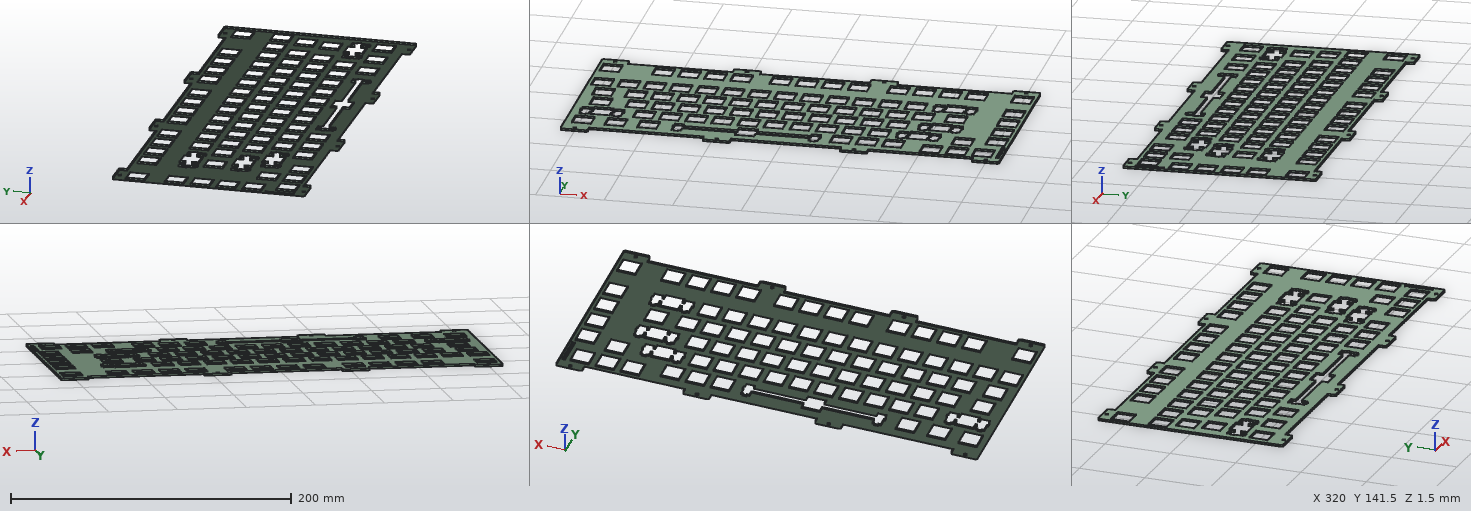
import cadquery as cq


length = 320.0
depth = 141.5
thickness = 1.5
edge_margin = 10.0

tab_height = 5.8
tab_width = 2 * edge_margin
tab_corner_radius = 1.5
screw_diameter = 2.2
outer_tab_x = length / 2 - edge_margin
inner_tab_left_x = -53.8
inner_tab_right_x = 46.5

last_column = 15.75
last_row = 5.75
key_pitch = (length - 2 * edge_margin) / last_column
switch_size = 14.0

stabilizer_width = 6.7
stabilizer_top = 5.8
stabilizer_bottom = -6.7
foot_width = 3.0
foot_depth = 1.22
side_notch_depth = 0.83
side_notch_top = 2.3
side_notch_bottom = -0.5
channel_height = 4.8
short_stabilizer_offset = 12.0
space_stabilizer_offset = 50.0

slot_width = 2.08
slot_length = 20.8
slot_x = 157.0
slot_y = -52.0


def run(first, count):
    """Columns of neighbouring single-width keys."""
    return [first + i for i in range(count)]


switch_rows = {
    0: [0] + run(2, 4) + run(6.5, 4) + run(11, 4) + [last_column],
    1.5: run(0, 13) + [last_column],
    2.5: [0.25] + run(1.5, 12) + [13.75, last_column],
    3.5: [0.375] + run(1.75, 11) + [last_column],
    4.5: run(2.25, 10) + [last_column],
    4.75: [14.5],
    5.5: [0.125, 1.375, 2.625] + run(10, 3),
    last_row: run(13.5, 3),
}

wide_keys = [
    (13.5, 1.5, short_stabilizer_offset),
    (13.375, 3.5, short_stabilizer_offset),
    (0.625, 4.5, short_stabilizer_offset),
    (12.75, 4.5, short_stabilizer_offset),
    (6.375, 5.5, space_stabilizer_offset),
]


def key_center(column, row):
    """The key grid is centred on the plate."""
    return (column - last_column / 2) * key_pitch, (last_row / 2 - row) * key_pitch


def block(x_min, x_max, y_min, y_max):
    """Box through the full plate thickness."""
    box = cq.Workplane("XY").box(x_max - x_min, y_max - y_min, thickness, centered=False)
    return box.translate((x_min, y_min, -thickness / 2))


def centered_block(x, y, width, height):
    return block(x - width / 2, x + width / 2, y - height / 2, y + height / 2)


def make_tab(x, side):
    """Tab on the +Y (side = 1) or -Y (side = -1) edge, rounded at its outer corners."""
    tab = centered_block(x, side * (depth - tab_height) / 2, tab_width, tab_height)
    outer_face = ">Y" if side > 0 else "<Y"
    return tab.faces(outer_face).edges("|Z").fillet(tab_corner_radius)


def make_wide_key_cutout(column, row, offset):
    """Switch opening joined by a channel to a stabilizer opening on each side."""
    x, y = key_center(column, row)
    cutout = centered_block(x, y, switch_size, switch_size)
    cutout = cutout.union(centered_block(x, y, 2 * offset, channel_height))
    for side in (-1, 1):
        center_x = x + side * offset
        outer_x = center_x + side * stabilizer_width / 2
        body = block(
            center_x - stabilizer_width / 2,
            center_x + stabilizer_width / 2,
            y + stabilizer_bottom,
            y + stabilizer_top,
        )
        foot = block(
            center_x - foot_width / 2,
            center_x + foot_width / 2,
            y + stabilizer_bottom - foot_depth,
            y,
        )
        side_notch = block(
            outer_x - side_notch_depth,
            outer_x + side_notch_depth,
            y + side_notch_bottom,
            y + side_notch_top,
        )
        cutout = cutout.union(body).union(foot).union(side_notch)
    return cutout


upper_tabs = [-outer_tab_x, inner_tab_left_x, inner_tab_right_x, outer_tab_x]
tabs = [(side * x, side) for side in (1, -1) for x in upper_tabs]

plate = centered_block(0, 0, length, depth - 2 * tab_height)
for tab_x, tab_side in tabs:
    plate = plate.union(make_tab(tab_x, tab_side))

screw_points = [(x, side * (depth - tab_height) / 2) for x, side in tabs]
screw_holes = (
    cq.Workplane("XY")
    .pushPoints(screw_points)
    .circle(screw_diameter / 2)
    .extrude(thickness / 2, both=True)
)
plate = plate.cut(screw_holes)

switch_points = [key_center(column, row) for row, columns in switch_rows.items() for column in columns]
switch_cutouts = (
    cq.Workplane("XY")
    .pushPoints(switch_points)
    .rect(switch_size, switch_size)
    .extrude(thickness / 2, both=True)
)
plate = plate.cut(switch_cutouts)

for wide_key in wide_keys:
    plate = plate.cut(make_wide_key_cutout(*wide_key))

plate = plate.cut(centered_block(slot_x, slot_y, slot_width, slot_length))

result = plate